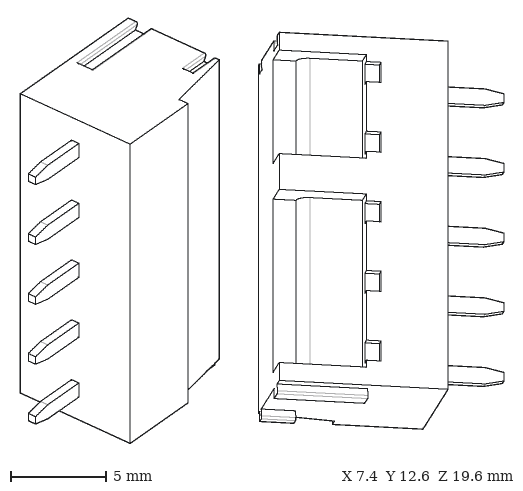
import cadquery as cq

dovetail_height = 0.55
dovetail_flare = 0.18
dovetail_edge_radius = 0.108
dovetails = [
    (1.05, 1.15, 4.82, 1.14, 4.9),
    (5.5, 0.78, 1.82, 0.8, 1.82),
]

overall_height = 19.6
pole_count = 5
width = 7.4
depth = 9.0
height = overall_height - dovetail_height
pole_pitch = height / pole_count

relief_length = 4.17
relief_start_x = 6.8
relief_end_x = 6.13

pin_width = 0.49
pin_height = 0.9
pin_length = 3.6
pin_tip_length = 1.02
pin_tip_height = 0.47

rib_boundaries = [0, 3, 5]
rib_half_height = 0.98
window_length = 4.65
window_depth = 1.18
step_round = 0.63
step_length = 1.85

pocket_length = 0.78
pocket_height = 1.1
pocket_depth = 0.5


def pole_z(index):
    return (index + 0.5) * pole_pitch


def make_housing():
    relief_y = depth - relief_length
    outline = [
        (0, 0),
        (width, 0),
        (width, relief_y),
        (relief_start_x, relief_y),
        (relief_end_x, depth),
        (0, depth),
    ]
    return cq.Workplane("XY").polyline(outline).close().extrude(height)


def make_window(z0, z1):
    """Recess whose floor drops over a rounded step to a deeper level at the mating face."""
    back_y = depth - window_length
    step_y = depth - step_length
    return (
        cq.Workplane("XY")
        .moveTo(0, back_y)
        .lineTo(window_depth, back_y)
        .lineTo(window_depth, step_y)
        .radiusArc((window_depth + step_round, step_y + step_round), step_round)
        .lineTo(window_depth + step_round, depth)
        .lineTo(0, depth)
        .close()
        .extrude(z1 - z0)
        .translate((0, 0, z0))
    )


def make_pocket(z):
    start_y = depth - window_length - pocket_length
    pocket = cq.Workplane("XY").box(pocket_depth, pocket_length, pocket_height, centered=False)
    return pocket.translate((0, start_y, z - pocket_height / 2))


def make_pin(z):
    half = pin_height / 2
    tip_half = pin_tip_height / 2
    shoulder_y = pin_tip_length - pin_length
    outline = [
        (0, z - half),
        (shoulder_y, z - half),
        (-pin_length, z - tip_half),
        (-pin_length, z + tip_half),
        (shoulder_y, z + half),
        (0, z + half),
    ]
    pin = cq.Workplane("YZ").polyline(outline).close().extrude(pin_width)
    return pin.translate(((width - pin_width) / 2, 0, 0))


def make_dovetail(center_x, wide, length, top_z):
    """Bar hanging below top_z that widens downwards and ends flush with the mating face."""
    half = wide / 2
    root_half = half - dovetail_flare
    floor_z = top_z - dovetail_height
    outline = [
        (center_x - root_half, top_z),
        (center_x - half, floor_z),
        (center_x + half, floor_z),
        (center_x + root_half, top_z),
    ]
    return cq.Workplane("XZ", origin=(0, depth, 0)).polyline(outline).close().extrude(length)


def make_rail(center_x, wide, length):
    rail = make_dovetail(center_x, wide, length, 0)
    return rail.faces("<Z").edges("|Y").fillet(dovetail_edge_radius)


def cut_groove(body, center_x, wide, length):
    """Undercut groove in the top face with rounded lips along both long edges."""
    body = body.cut(make_dovetail(center_x, wide, length, height))
    half = wide / 2
    lips = cq.selectors.BoxSelector(
        (center_x - half, depth - length, height - dovetail_edge_radius),
        (center_x + half, depth, height + dovetail_edge_radius),
    )
    return body.edges("|Y").edges(lips).fillet(dovetail_edge_radius)


result = make_housing()

for lower, upper in zip(rib_boundaries, rib_boundaries[1:]):
    window_bottom = lower * pole_pitch + rib_half_height
    window_top = upper * pole_pitch - rib_half_height
    result = result.cut(make_window(window_bottom, window_top))

for pole in range(pole_count):
    result = result.cut(make_pocket(pole_z(pole)))
    result = result.union(make_pin(pole_z(pole)))

for center_x, rail_width, rail_length, groove_width, groove_length in dovetails:
    result = result.union(make_rail(center_x, rail_width, rail_length))
    result = cut_groove(result, center_x, groove_width, groove_length)